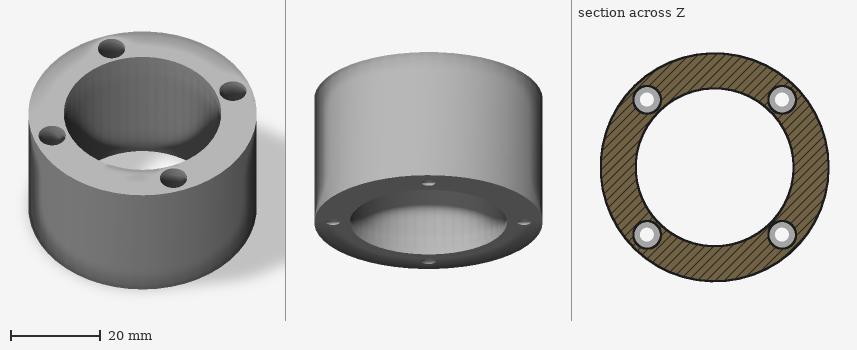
import cadquery as cq

outer_diameter = 50.8
bore_diameter = 35.0
height = 30.0

screw_spacing = 30.0
screw_hole_diameter = 3.1
counterbore_diameter = 6.05
counterbore_depth = height / 2


def make_ring():
    """Plain tube standing on the XY plane."""
    return (
        cq.Workplane("XY")
        .circle(outer_diameter / 2)
        .circle(bore_diameter / 2)
        .extrude(height)
    )


def cut_screw_holes(body):
    """Through holes with deep counterbores that hide the screw heads."""
    return (
        body.faces(">Z")
        .workplane(origin=(0, 0, height))
        .rect(screw_spacing, screw_spacing, forConstruction=True)
        .vertices()
        .cboreHole(screw_hole_diameter, counterbore_diameter, counterbore_depth)
    )


result = cut_screw_holes(make_ring())